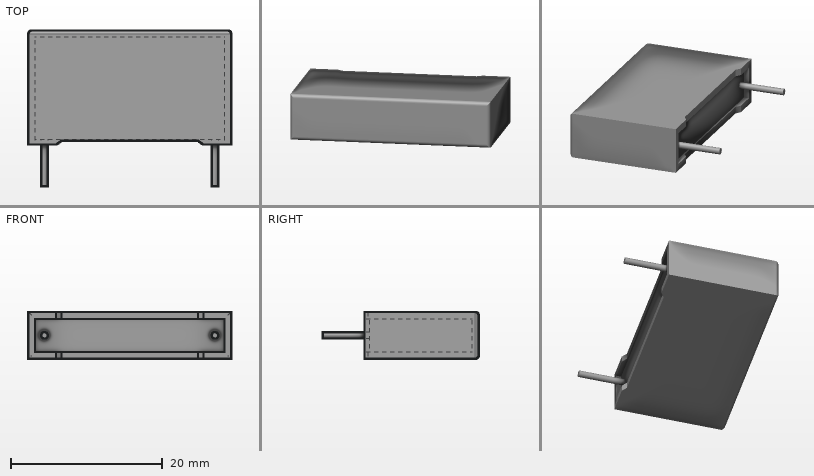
import cadquery as cq


case_width = 26.8
case_depth = 15.1
case_thickness = 6.21
side_wall = 0.9
face_wall = 0.93
back_wall = 0.9
back_edge_radius = 0.5

relief_depth = 0.5
foot_width = 3.7
relief_slope_width = 0.7

potting_recess = 0.7

lead_pitch = 22.5
lead_diameter = 0.87
lead_length = 5.5

cavity_width = case_width - 2 * side_wall
cavity_thickness = case_thickness - 2 * face_wall
cavity_depth = case_depth - back_wall


def block(width, thickness, y_front, y_back):
    """Box centred on X and Z that spans y_front to y_back."""
    return (
        cq.Workplane("XY")
        .box(width, y_back - y_front, thickness, centered=(True, False, True))
        .translate((0, y_front, 0))
    )


def make_relief():
    """Trapezoid that leaves a sloped foot at each end of the case mouth."""
    half_mouth = case_width / 2 - foot_width
    half_floor = half_mouth - relief_slope_width
    return (
        cq.Workplane("XY")
        .polyline([
            (-half_mouth, 0),
            (-half_floor, relief_depth),
            (half_floor, relief_depth),
            (half_mouth, 0),
        ])
        .close()
        .extrude(case_thickness / 2, both=True)
    )


def make_case():
    shell = block(case_width, case_thickness, 0, case_depth)
    shell = shell.faces(">Y").edges().fillet(back_edge_radius)
    cavity = block(cavity_width, cavity_thickness, 0, cavity_depth)
    return shell.cut(cavity).cut(make_relief())


def make_potting():
    """Fill from the back of the cavity up to the recessed front face."""
    return block(cavity_width, cavity_thickness, potting_recess, cavity_depth)


def make_lead(x):
    """Round wire that starts on the potting face and runs out along -Y."""
    return (
        cq.Workplane("XZ", origin=(x, potting_recess, 0))
        .circle(lead_diameter / 2)
        .extrude(potting_recess + lead_length)
    )


case = make_case()
potting = make_potting()
leads = [make_lead(side * lead_pitch / 2) for side in (-1, 1)]

result = cq.Compound.makeCompound([case.val(), potting.val(), *[lead.val() for lead in leads]])